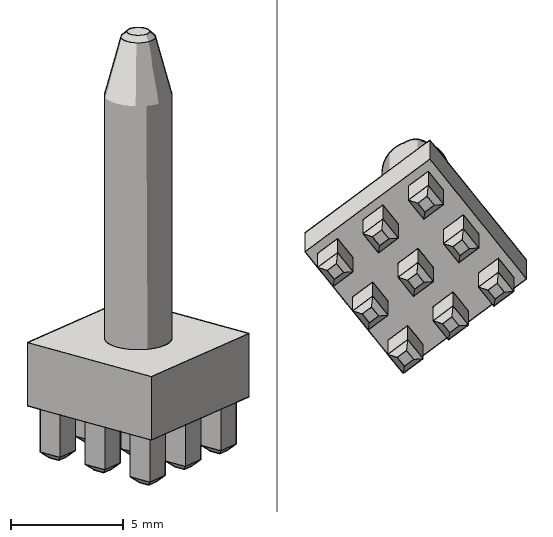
import cadquery as cq

base_side = 7.0
base_height = 3.0
total_height = 20.0

pin_rows = 3
pin_pitch = 2.55
pin_width = 1.12
pin_length = 2.5
pin_tip_width = 0.52
pin_tip_height = 0.3

post_diameter = 3.0
taper_height = 3.0
nose_diameter = 1.55
nose_chamfer_height = 0.25
nose_flat_diameter = 1.02

base_top = pin_length + base_height


def make_base():
    return (
        cq.Workplane("XY", origin=(0, 0, pin_length))
        .rect(base_side, base_side)
        .extrude(base_height)
    )


def make_post():
    """Revolve the half profile of the post about the Z axis."""
    return (
        cq.Workplane("XZ")
        .moveTo(0, base_top)
        .lineTo(post_diameter / 2, base_top)
        .lineTo(post_diameter / 2, total_height - taper_height)
        .lineTo(nose_diameter / 2, total_height - nose_chamfer_height)
        .lineTo(nose_flat_diameter / 2, total_height)
        .lineTo(0, total_height)
        .close()
        .revolve(360, (0, 0, 0), (0, 1, 0))
    )


def make_pins():
    """Square shanks, each ending in a truncated pyramid."""
    shanks = (
        cq.Workplane("XY", origin=(0, 0, pin_tip_height))
        .rarray(pin_pitch, pin_pitch, pin_rows, pin_rows)
        .rect(pin_width, pin_width)
        .extrude(pin_length - pin_tip_height)
    )
    tip = (
        cq.Workplane("XY")
        .rect(pin_tip_width, pin_tip_width)
        .workplane(offset=pin_tip_height)
        .rect(pin_width, pin_width)
        .loft(ruled=True)
    )
    tips = (
        cq.Workplane("XY")
        .rarray(pin_pitch, pin_pitch, pin_rows, pin_rows)
        .eachpoint(tip.val(), combine=False)
    )
    return shanks.union(tips)


result = make_base().union(make_post()).union(make_pins())